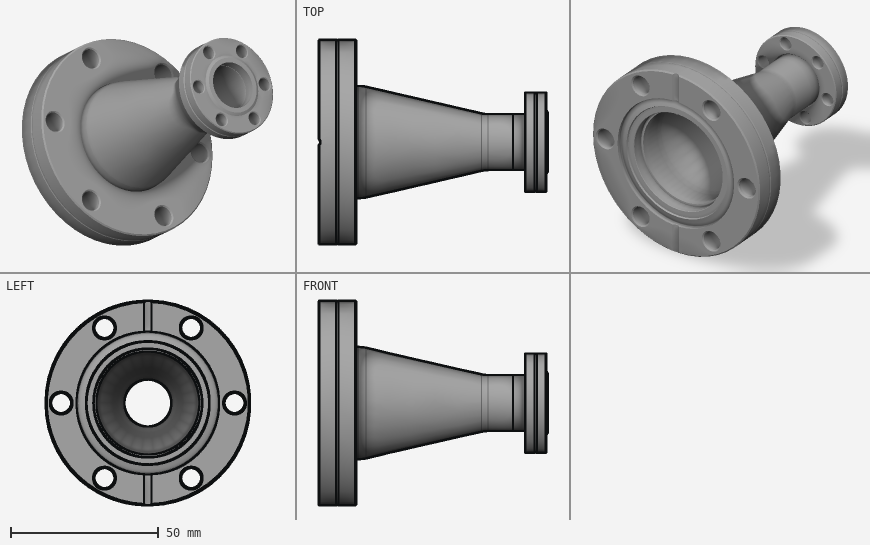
import cadquery as cq
import math

overall_length = 77.75
wall = 1.6

reducer_large_diameter = 38.1
reducer_small_diameter = 19.05
reducer_start = 5.45
large_bend_start = 13.7
cone_angle = math.radians(13.0)
bend_radius = 9.6
reducer_end = 65.8

large_flange_diameter = 69.3
large_flange_thickness = 12.9
large_bore_diameter = 36.6
large_socket_diameter = 38.3
large_edge_chamfer = 0.5
gasket_recess_diameter = 48.3
recess_wall_depth = 1.4
recess_fillet = 0.3
knife_slope = math.radians(20.0)
large_knife_diameter = 41.9
knife_floor_diameter = 41.45
knife_floor_setback = 1.3
large_bore_chamfer = 0.15
large_bolt_circle = 58.6
large_bolt_hole = 6.8
large_bolt_chamfer = 0.5
large_bolt_angle = 0
leak_groove_width = 2.6
leak_groove_depth = 0.6

small_flange_diameter = 33.7
small_flange_start = 69.8
small_rim_end = 77.2
small_bore_diameter = 16.0
small_socket_diameter = 19.45
small_socket_depth = 3.9
small_edge_chamfer = 0.3
small_socket_chamfer = 0.3
small_knife_base_diameter = 21.3
small_knife_diameter = 19.3
small_bolt_circle = 27.2
small_bolt_hole = 4.35
small_bolt_chamfer = 0.3
small_bolt_angle = 12.5

bolt_count = 6
cutter_overrun = 0.8
rim_groove_width = 0.85
rim_groove_depth = 0.2

tube_end = small_flange_start + small_socket_depth


def revolve_profile(profile):
    """Turn a closed profile, drawn as (x, radius), around the X axis."""
    return profile.close().revolve(360, (0, 0, 0), (1, 0, 0))


def ring(start, end, outer_diameter, inner_diameter):
    """Plain tube section along X."""
    return (
        cq.Workplane("YZ", origin=(start, 0, 0))
        .circle(outer_diameter / 2)
        .circle(inner_diameter / 2)
        .extrude(end - start)
    )


def groove_radius(width, depth):
    """Radius of the arc that spans a groove of this width and depth."""
    return ((width / 2) ** 2 + depth**2) / (2 * depth)


def cut_rim_groove(flange, middle, flange_diameter):
    """Round-bottomed groove around the rim of a flange."""
    radius = groove_radius(rim_groove_width, rim_groove_depth)
    arc_centre = flange_diameter / 2 - rim_groove_depth + radius
    cutter = (
        cq.Workplane("XY")
        .center(middle, arc_centre)
        .circle(radius)
        .revolve(360, (0, -arc_centre, 0), (1, -arc_centre, 0))
    )
    return flange.cut(cutter)


def cut_bolt_holes(flange, start, end, circle_diameter, hole_diameter, chamfer, first_angle):
    """Through holes on a bolt circle, chamfered at both faces; angles run from +Y to +Z."""
    hole_radius = hole_diameter / 2
    wide_radius = hole_radius + chamfer
    cutter = revolve_profile(
        cq.Workplane("XY")
        .moveTo(start, 0)
        .lineTo(start, wide_radius)
        .lineTo(start + chamfer, hole_radius)
        .lineTo(end - chamfer, hole_radius)
        .lineTo(end, wide_radius)
        .lineTo(end, 0)
    )
    for index in range(bolt_count):
        angle = math.radians(first_angle + index * 360 / bolt_count)
        y = circle_diameter / 2 * math.cos(angle)
        z = circle_diameter / 2 * math.sin(angle)
        flange = flange.cut(cutter.translate((0, y, z)))
    return flange


def cut_leak_groove(flange):
    """Round-bottomed groove along Z across the front face of the large flange."""
    radius = groove_radius(leak_groove_width, leak_groove_depth)
    cutter = (
        cq.Workplane("XY")
        .center(leak_groove_depth - radius, 0)
        .circle(radius)
        .extrude(large_flange_diameter / 2 + cutter_overrun, both=True)
    )
    return flange.cut(cutter)


def make_large_flange():
    """Flange with a gasket recess, a knife edge and a rear socket for the reducer."""
    outer = large_flange_diameter / 2
    recess = gasket_recess_diameter / 2
    knife = large_knife_diameter / 2
    bore = large_bore_diameter / 2
    socket = large_socket_diameter / 2

    def fillet_point(angle):
        return (
            recess_wall_depth + recess_fillet * math.cos(angle),
            recess - recess_fillet + recess_fillet * math.sin(angle),
        )

    fillet_middle_angle = (math.pi / 2 - knife_slope) / 2
    cone_base_x, cone_base_radius = fillet_point(-knife_slope)
    knife_tip_x = cone_base_x - (cone_base_radius - knife) * math.tan(knife_slope)
    flange = revolve_profile(
        cq.Workplane("XY")
        .moveTo(large_edge_chamfer, outer)
        .lineTo(0, outer - large_edge_chamfer)
        .lineTo(0, recess)
        .lineTo(recess_wall_depth, recess)
        .threePointArc(fillet_point(fillet_middle_angle), (cone_base_x, cone_base_radius))
        .lineTo(knife_tip_x, knife)
        .lineTo(knife_floor_setback, knife_floor_diameter / 2)
        .lineTo(knife_floor_setback, bore + large_bore_chamfer)
        .lineTo(knife_floor_setback + large_bore_chamfer, bore)
        .lineTo(reducer_start, bore)
        .lineTo(reducer_start, socket)
        .lineTo(large_flange_thickness, socket)
        .lineTo(large_flange_thickness, outer - large_edge_chamfer)
        .lineTo(large_flange_thickness - large_edge_chamfer, outer)
    )
    flange = cut_rim_groove(flange, large_flange_thickness / 2, large_flange_diameter)
    flange = cut_bolt_holes(
        flange,
        0,
        large_flange_thickness,
        large_bolt_circle,
        large_bolt_hole,
        large_bolt_chamfer,
        large_bolt_angle,
    )
    return cut_leak_groove(flange)


def make_reducer():
    """Conical shell of even wall, with a tangent bend at each end of the cone."""
    large = reducer_large_diameter / 2
    small = reducer_small_diameter / 2
    outer_bend = bend_radius + wall
    large_centre = (large_bend_start, large - outer_bend)
    rise = large - small - (outer_bend + bend_radius) * (1 - math.cos(cone_angle))
    cone_run = rise / math.tan(cone_angle)
    bend_run = (outer_bend + bend_radius) * math.sin(cone_angle)
    small_centre = (large_bend_start + cone_run + bend_run, small + bend_radius)

    def large_bend(radius, angle):
        return (
            large_centre[0] + radius * math.sin(angle),
            large_centre[1] + radius * math.cos(angle),
        )

    def small_bend(radius, angle):
        return (
            small_centre[0] - radius * math.sin(angle),
            small_centre[1] - radius * math.cos(angle),
        )

    half_angle = cone_angle / 2
    return revolve_profile(
        cq.Workplane("XY")
        .moveTo(reducer_start, large)
        .lineTo(*large_bend(outer_bend, 0))
        .threePointArc(large_bend(outer_bend, half_angle), large_bend(outer_bend, cone_angle))
        .lineTo(*small_bend(bend_radius, cone_angle))
        .threePointArc(small_bend(bend_radius, half_angle), small_bend(bend_radius, 0))
        .lineTo(reducer_end, small)
        .lineTo(reducer_end, small - wall)
        .lineTo(*small_bend(outer_bend, 0))
        .threePointArc(small_bend(outer_bend, half_angle), small_bend(outer_bend, cone_angle))
        .lineTo(*large_bend(bend_radius, cone_angle))
        .threePointArc(large_bend(bend_radius, half_angle), large_bend(bend_radius, 0))
        .lineTo(reducer_start, large - wall)
    )


def make_tube():
    """Short tube from the reducer into the socket of the small flange."""
    return ring(reducer_end, tube_end, reducer_small_diameter, reducer_small_diameter - 2 * wall)


def make_small_flange():
    """Flange with a front socket for the tube and a knife edge standing out of its rear face."""
    outer = small_flange_diameter / 2
    bore = small_bore_diameter / 2
    socket = small_socket_diameter / 2
    flange = revolve_profile(
        cq.Workplane("XY")
        .moveTo(small_flange_start + small_edge_chamfer, outer)
        .lineTo(small_flange_start, outer - small_edge_chamfer)
        .lineTo(small_flange_start, socket + small_socket_chamfer)
        .lineTo(small_flange_start + small_socket_chamfer, socket)
        .lineTo(tube_end, socket)
        .lineTo(tube_end, bore)
        .lineTo(overall_length, bore)
        .lineTo(overall_length, small_knife_diameter / 2)
        .lineTo(small_rim_end, small_knife_base_diameter / 2)
        .lineTo(small_rim_end, outer - small_edge_chamfer)
        .lineTo(small_rim_end - small_edge_chamfer, outer)
    )
    rim_middle = (small_flange_start + small_rim_end) / 2
    flange = cut_rim_groove(flange, rim_middle, small_flange_diameter)
    return cut_bolt_holes(
        flange,
        small_flange_start,
        small_rim_end,
        small_bolt_circle,
        small_bolt_hole,
        small_bolt_chamfer,
        small_bolt_angle,
    )


large_flange = make_large_flange()
reducer = make_reducer()
tube = make_tube()
small_flange = make_small_flange()

result = cq.Compound.makeCompound(
    [large_flange.val(), reducer.val(), tube.val(), small_flange.val()]
)